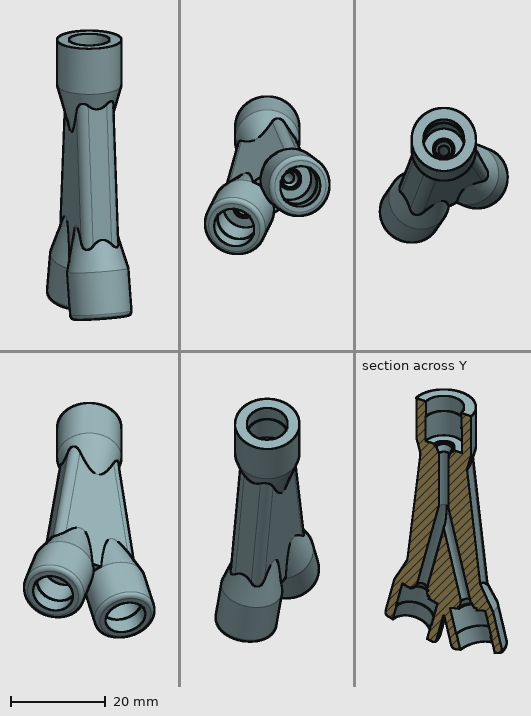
import cadquery as cq
import math

overall_height = 60.09

sleeve_length = 10.0
cone_length = 17.0
stem_radius = 6.8
stem_cone_angle = 15.5
branch_radius = 6.5
branch_cone_angle = 14.0
branch_rim_fillet = 1.0

branch_lean = 14.0
branch_axis_length = 34.33

body_thickness = 8.1
body_edge_radius = 2.0
body_bottom_z = 10.1
body_bottom_width = 20.0
body_top_z = overall_height - sleeve_length
body_top_width = 10.7

bore_mouth_radius = 4.3
bore_mouth_depth = 3.85
bore_radius = 4.4
bore_depth = 10.0
stop_recess_radius = 2.25
stop_recess_depth = 0.5

funnel_radius = 1.8
funnel_depth = 1.5
passage_radius = 1.15

lean = math.radians(branch_lean)
rim_center_radius = branch_radius - branch_rim_fillet
branch_end_z = (
    branch_rim_fillet * (1 - math.cos(lean)) + rim_center_radius * math.sin(lean)
)
junction_z = branch_end_z + branch_axis_length * math.cos(lean)


def socket_body(radius, cone_angle, rim_fillet=0.0):
    """Sleeve and cone around Z, open end at Z = 0, cone pointing to +Z."""
    cone_tip_radius = radius - cone_length * math.tan(math.radians(cone_angle))
    profile = cq.Workplane("XZ").lineTo(-(radius - rim_fillet), 0)
    if rim_fillet > 0:
        profile = profile.radiusArc((-radius, rim_fillet), rim_fillet)
    profile = (
        profile.lineTo(-radius, sleeve_length)
        .lineTo(-cone_tip_radius, sleeve_length + cone_length)
        .lineTo(0, sleeve_length + cone_length)
        .close()
    )
    return profile.revolve(360, (0, 0, 0), (0, 1, 0))


def socket_bore(passage_length):
    """Undercut bore, stop recess, funnel and passage around Z, entered from Z = 0."""
    recess_floor = bore_depth + stop_recess_depth
    return (
        cq.Workplane("XZ")
        .lineTo(-bore_mouth_radius, 0)
        .lineTo(-bore_mouth_radius, bore_mouth_depth)
        .lineTo(-bore_radius, bore_mouth_depth)
        .lineTo(-bore_radius, bore_depth)
        .lineTo(-stop_recess_radius, bore_depth)
        .lineTo(-stop_recess_radius, recess_floor)
        .lineTo(-funnel_radius, recess_floor)
        .lineTo(-passage_radius, recess_floor + funnel_depth)
        .lineTo(-passage_radius, passage_length)
        .lineTo(0, passage_length)
        .close()
        .revolve(360, (0, 0, 0), (0, 1, 0))
    )


def place_stem(shape):
    """Turn a socket shape over so that its open end faces up at the top."""
    return shape.mirror("XY").translate((0, 0, overall_height))


def place_branches(shape):
    """Lean a socket shape towards -X, and add its mirror image on +X."""
    left = (
        shape.translate((0, 0, -branch_axis_length))
        .rotate((0, 0, 0), (0, 1, 0), branch_lean)
        .translate((0, 0, junction_z))
    )
    return [left, left.mirror("YZ")]


def flat_body():
    """Tapered plate with its four long edges rounded."""
    plate = (
        cq.Workplane("XZ")
        .moveTo(-body_bottom_width / 2, body_bottom_z)
        .lineTo(body_bottom_width / 2, body_bottom_z)
        .lineTo(body_top_width / 2, body_top_z)
        .lineTo(-body_top_width / 2, body_top_z)
        .close()
        .extrude(body_thickness / 2, both=True)
    )
    return plate.edges("#Y").edges("not |X").fillet(body_edge_radius)


result = flat_body().union(place_stem(socket_body(stem_radius, stem_cone_angle)))
for branch in place_branches(socket_body(branch_radius, branch_cone_angle, branch_rim_fillet)):
    result = result.union(branch)

result = result.cut(place_stem(socket_bore(overall_height - junction_z)))
for bore in place_branches(socket_bore(branch_axis_length)):
    result = result.cut(bore)